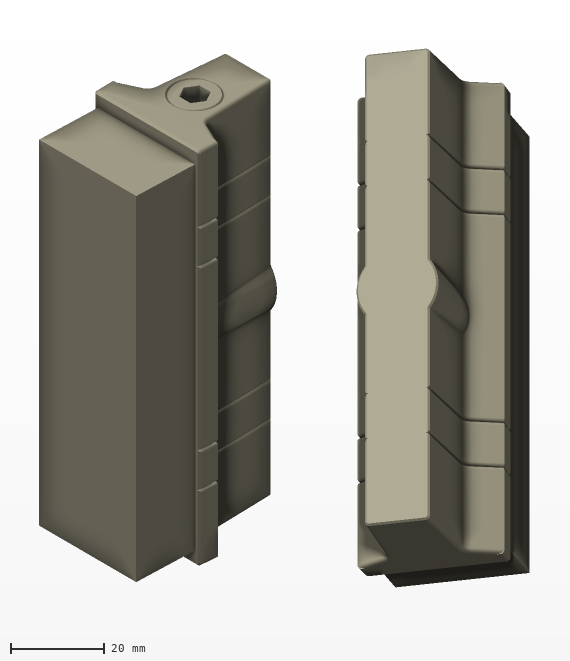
import cadquery as cq
import math

length = 108.0
housing_depth = 30.5
flange_width = 32.9
flange_depth = 5.5
flange_draft = 1.5
flare_angle = 25.0
neck_back_width = 14.5
neck_draft = 3.5
neck_root_radius = 2.5
end_radius = 1.0
front_chamfer = 0.5
back_chamfer = 0.4

boss_back_radius = 9.2
boss_fillet = 0.4
boss_draft = 1.0

groove_radius = 0.81
groove_pair_height = 28.9
groove_spacing = 10.3
groove_overrun = 2.2

screw_from_back = 16.0
screw_diameter = 12.2
screw_length = 10.8
rim_chamfer = 0.3
rim_angle = 45.0
socket_width = 6.0
socket_depth = 5.4
socket_turn = 30.0

pad_width = 30.0
pad_length = 100.0
cells_across = 6
cells_along = 20
cell_depth = 10.0
base_depth = 7.5
cell_width = pad_width / cells_across
cell_height = pad_length / cells_along

pick_margin = 0.1


def tangent(angle):
    return math.tan(math.radians(angle))


half_flange = flange_width / 2
half_back = neck_back_width / 2
root_y = (
    flange_depth + (half_flange - half_back - housing_depth * tangent(neck_draft)) * tangent(flare_angle)
) / (1 - tangent(neck_draft) * tangent(flare_angle))
half_root = half_back + (housing_depth - root_y) * tangent(neck_draft)
half_front = half_flange - flange_depth * tangent(flange_draft)
screw_y = housing_depth - screw_from_back


def make_neck():
    """Neck and flare, down to the wide side of the flange."""
    neck = (
        cq.Workplane("XY")
        .polyline([
            (-half_flange, flange_depth),
            (half_flange, flange_depth),
            (half_root, root_y),
            (half_back, housing_depth),
            (-half_back, housing_depth),
            (-half_root, root_y),
        ])
        .close()
        .extrude(length / 2, both=True)
    )
    roots = cq.selectors.BoxSelector(
        (-half_root - pick_margin, root_y - pick_margin, -pick_margin),
        (half_root + pick_margin, root_y + pick_margin, pick_margin),
    )
    neck = neck.edges(roots).fillet(neck_root_radius)
    return neck.faces("|Z").edges("not |X").fillet(end_radius)


def make_flange():
    """Flange, narrowing on all four sides towards its front."""
    return (
        cq.Workplane("XZ", origin=(0, flange_depth, 0))
        .rect(flange_width, length)
        .extrude(flange_depth, taper=flange_draft)
        .edges("not #Y")
        .fillet(end_radius)
    )


def make_boss():
    """Cone along Y, widening from the back face to the flange."""
    boss_depth = housing_depth - flange_depth
    return (
        cq.Workplane("XZ", origin=(0, housing_depth, 0))
        .circle(boss_back_radius)
        .extrude(boss_depth, taper=-boss_draft)
    )


def make_groove(side, height):
    """Bar laid along one side of the housing, to cut a groove with rounded lips."""
    past_back = (half_back - groove_overrun * tangent(neck_draft), housing_depth + groove_overrun)
    past_front = (half_front - groove_overrun * tangent(flange_draft), -groove_overrun)
    corners = [past_back, (half_root, root_y), (half_flange, flange_depth), past_front]
    path = cq.Wire.makePolygon([cq.Vector(side * x, y, height) for x, y in corners])
    root = [v for v in path.Vertices() if abs(v.Y - root_y) < pick_margin]
    path = path.fillet2D(neck_root_radius, root)
    draft = math.radians(neck_draft)
    start = cq.Plane(
        origin=(side * past_back[0], past_back[1], height),
        xDir=(side * math.cos(draft), math.sin(draft), 0),
        normal=(side * math.sin(draft), -math.cos(draft), 0),
    )
    set_in = groove_radius * (1 - math.sqrt(0.5))
    profile = (
        cq.Workplane(start)
        .moveTo(-groove_radius, 0)
        .threePointArc((-set_in, set_in), (0, groove_radius))
        .lineTo(groove_radius, groove_radius)
        .lineTo(groove_radius, -groove_radius)
        .lineTo(0, -groove_radius)
        .threePointArc((-set_in, -set_in), (-groove_radius, 0))
        .close()
    )
    return profile.sweep(cq.Workplane(path), transition="round")


def make_screw_seat():
    """Hole for the screw head, with a chamfered rim."""
    seat = (
        cq.Workplane("XY", origin=(0, screw_y, length / 2))
        .circle(screw_diameter / 2)
        .extrude(-screw_length)
    )
    rim = (
        cq.Workplane("XY", origin=(0, screw_y, length / 2))
        .circle(screw_diameter / 2 + rim_chamfer)
        .extrude(-rim_chamfer, taper=rim_angle)
    )
    return seat.union(rim)


def make_housing():
    """Neck, flange and boss in one solid, with the grooves and the screw seat cut in."""
    housing = make_neck().union(make_flange()).union(make_boss())
    boss_foot = cq.selectors.BoxSelector(
        (-half_flange, flange_depth + pick_margin, -boss_back_radius),
        (half_flange, housing_depth - pick_margin, boss_back_radius),
    )
    housing = housing.edges(boss_foot).fillet(boss_fillet)
    housing = housing.faces("<Y").edges().chamfer(front_chamfer)
    housing = housing.faces(">Y").edges().chamfer(back_chamfer)
    inner_height = groove_pair_height - groove_spacing / 2
    outer_height = groove_pair_height + groove_spacing / 2
    for height in (-outer_height, -inner_height, inner_height, outer_height):
        for side in (-1, 1):
            housing = housing.cut(make_groove(side, height))
    return housing.cut(make_screw_seat())


def make_screw():
    """Cylindrical head with a hexagon socket."""
    head = (
        cq.Workplane("XY", origin=(0, screw_y, length / 2 - screw_length))
        .circle(screw_diameter / 2)
        .extrude(screw_length)
        .faces(">Z")
        .chamfer(rim_chamfer)
    )
    socket = (
        cq.Workplane("XY", origin=(0, screw_y, length / 2))
        .transformed(rotate=(0, 0, socket_turn))
        .polygon(6, socket_width, circumscribed=True)
        .extrude(-socket_depth)
    )
    return head.cut(socket)


def make_pad():
    """Base plate against the flange, with a grid of cells that touch along their sides."""
    base = cq.Workplane("XY").box(pad_width, base_depth, pad_length).translate((0, -base_depth / 2, 0))
    first_x = (cell_width - pad_width) / 2
    first_z = (cell_height - pad_length) / 2
    cell_y = -base_depth - cell_depth / 2
    cells = [
        cq.Workplane("XY")
        .box(cell_width, cell_depth, cell_height)
        .translate((first_x + column * cell_width, cell_y, first_z + row * cell_height))
        .val()
        for column in range(cells_across)
        for row in range(cells_along)
    ]
    return cq.Workplane(base.val().fuse(*cells))


housing = make_housing()
screw = make_screw()
pad = make_pad()

result = cq.Compound.makeCompound([housing.val(), screw.val(), pad.val()])